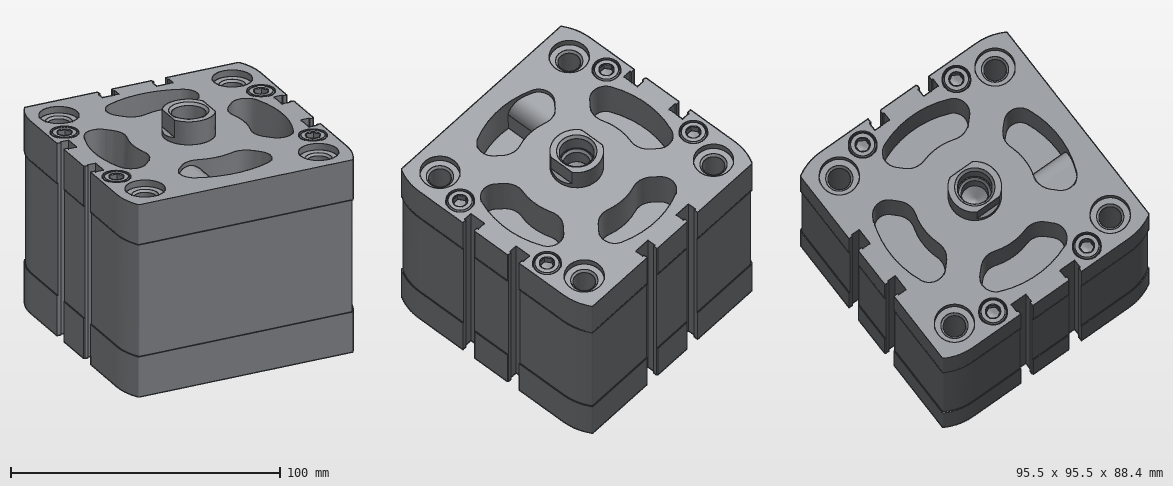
import cadquery as cq
import math

WIDTH = 95.5
TOTAL_HEIGHT = 88.4
ROD_PROTRUSION = 9.5
CAP_HEIGHT = 16.5
BARREL_INSET = 0.4
HOUSING_HEIGHT = TOTAL_HEIGHT - ROD_PROTRUSION
BARREL_HEIGHT = HOUSING_HEIGHT - 2 * CAP_HEIGHT

ARC_START_X = 36.0
ARC_END_DROP = 3.2
CORNER_BREAK = 0.8

SLOT_OFFSET = 11.3
SLOT_MOUTH = 5.5
SLOT_WIDTH = 6.8
SLOT_DEPTH = 5.2
SLOT_LIP = 1.7
LIP_BREAK = 0.4

MOUNT_OFFSET = 36.0
MOUNT_BORE_DIA = 8.4
MOUNT_COUNTERSINK_DIA = 10.1
MOUNT_SEAT_DIA = 15.0
MOUNT_SEAT_DEPTH = 2.7

SCREW_X = 21.7
SCREW_Y = 40.8
SCREW_POCKET_DIA = 10.7
SCREW_HEAD_DIA = 10.0
SCREW_CROWN_DIA = 9.0
SCREW_GAP_DEPTH = 1.4
SCREW_HEX_FLATS = 5.0
SCREW_SOCKET_DEPTH = 2.9
SCREW_CONE_HEIGHT = 0.8

POCKET_OUTER_R = 39.0
POCKET_INNER_R = 23.2
POCKET_WEB = 13.0
POCKET_OUTER_CORNER_R = 6.0
POCKET_INNER_CORNER_R = 7.6
POCKET_DEPTH = 14.8
POCKET_DRAFT = 2.5

STEP_DEPTH = 1.7
STEP_CREST_Y = -11.6
STEP_FOOT_Y = -4.5
STEP_ROUND_R = 7.5

ROD_DIA = 20.0
ROD_SEAT_DEPTH = CAP_HEIGHT
FLAT_DISTANCE = 8.5
FLAT_LENGTH = 7.1
FLAT_RUNOUT = 0.8
THREAD_CHAMFER_DIA = 15.0
THREAD_DIA = 13.0
THREAD_DEPTH = 6.7
LEDGE_DIA = 12.0
CORE_DIA = 10.1
CORE_DEPTH = 13.4
DRILL_HALF_ANGLE = 59.0


def footprint(width, height):
    """Square prism with large arcs running into the front and back faces."""
    half = width / 2
    inset = WIDTH / 2 - half
    side_y = WIDTH / 2 - ARC_END_DROP - inset
    rise = half - side_y
    run = half - ARC_START_X
    radius = (run**2 + rise**2) / (2 * rise)
    half_angle = math.atan2(run, radius - rise) / 2
    mid_x = ARC_START_X + radius * math.sin(half_angle)
    mid_y = half - radius * (1 - math.cos(half_angle))
    sketch = (
        cq.Workplane("XY")
        .moveTo(-ARC_START_X, half)
        .lineTo(ARC_START_X, half)
        .threePointArc((mid_x, mid_y), (half, side_y))
        .lineTo(half, -side_y)
        .threePointArc((mid_x, -mid_y), (ARC_START_X, -half))
        .lineTo(-ARC_START_X, -half)
        .threePointArc((-mid_x, -mid_y), (-half, -side_y))
        .lineTo(-half, side_y)
        .threePointArc((-mid_x, mid_y), (-ARC_START_X, half))
        .close()
    )
    corners = cq.selectors.BoxSelector(
        (-WIDTH, -side_y - 0.1, -1), (WIDTH, side_y + 0.1, height + 1)
    )
    return sketch.extrude(height).edges("|Z").edges(corners).fillet(CORNER_BREAK)


def housing_blank():
    cap = footprint(WIDTH, CAP_HEIGHT)
    barrel = footprint(WIDTH - 2 * BARREL_INSET, BARREL_HEIGHT)
    blank = cap.union(barrel.translate((0, 0, CAP_HEIGHT)))
    return blank.union(cap.translate((0, 0, CAP_HEIGHT + BARREL_HEIGHT)))


def slot(side):
    """Cutter for one T-slot in the front face, on the given side (+1, -1) of its middle."""
    face = -WIDTH / 2
    inner_mouth = SLOT_OFFSET - SLOT_MOUTH / 2
    outer_mouth = SLOT_OFFSET + SLOT_MOUTH / 2
    inner_wall = SLOT_OFFSET - SLOT_WIDTH / 2
    outer_wall = SLOT_OFFSET + SLOT_WIDTH / 2
    points = [
        (inner_mouth - LIP_BREAK, face),
        (inner_mouth, face + LIP_BREAK),
        (inner_mouth, face + SLOT_LIP),
        (inner_wall, face + SLOT_LIP),
        (inner_wall, face + SLOT_DEPTH),
        (outer_wall, face + SLOT_DEPTH),
        (outer_wall, face + SLOT_LIP),
        (outer_mouth, face + SLOT_LIP),
        (outer_mouth, face),
    ]
    outline = [(side * x, y) for x, y in points]
    return cq.Workplane("XY").polyline(outline).close().extrude(HOUSING_HEIGHT)


def turned(profile):
    """Solid of revolution about Z from (radius, height) points."""
    return cq.Workplane("XZ").polyline(profile).close().revolve(360, (0, 0), (0, 1))


def mount_hole():
    """Cutter for one stepped mounting hole, axis at the origin."""
    top = HOUSING_HEIGHT
    seat = top - MOUNT_SEAT_DEPTH
    countersink = (MOUNT_COUNTERSINK_DIA - MOUNT_BORE_DIA) / 2
    profile = [
        (0, 0),
        (MOUNT_BORE_DIA / 2, 0),
        (MOUNT_BORE_DIA / 2, seat - countersink),
        (MOUNT_COUNTERSINK_DIA / 2, seat),
        (MOUNT_SEAT_DIA / 2, seat),
        (MOUNT_SEAT_DIA / 2, top),
        (0, top),
    ]
    return turned(profile)


def screw_recess():
    """Cutter that leaves one screw head: a ring gap around it and its socket."""
    top = HOUSING_HEIGHT
    chamfer = (SCREW_HEAD_DIA - SCREW_CROWN_DIA) / 2
    gap_profile = [
        (SCREW_CROWN_DIA / 2, top),
        (SCREW_HEAD_DIA / 2, top - chamfer),
        (SCREW_HEAD_DIA / 2, top - SCREW_GAP_DEPTH),
        (SCREW_POCKET_DIA / 2, top - SCREW_GAP_DEPTH),
        (SCREW_POCKET_DIA / 2, top),
    ]
    hex_corners = SCREW_HEX_FLATS / math.cos(math.radians(30))
    hexagon = (
        cq.Workplane("XY")
        .workplane(offset=top - SCREW_SOCKET_DEPTH)
        .transformed(rotate=(0, 0, 30))
        .polygon(6, hex_corners)
        .extrude(SCREW_SOCKET_DEPTH)
    )
    bevel = (hex_corners - SCREW_HEX_FLATS) / 2
    floor = top - SCREW_SOCKET_DEPTH
    drill_profile = [
        (0, floor - SCREW_CONE_HEIGHT),
        (SCREW_HEX_FLATS / 2, floor),
        (SCREW_HEX_FLATS / 2, top - bevel),
        (hex_corners / 2, top),
        (0, top),
    ]
    return turned(gap_profile).union(hexagon.union(turned(drill_profile)))


def pocket_outline(height, inset):
    """Kidney outline on the +Y side at the given height, offset inwards by the inset."""
    web = POCKET_WEB / math.sqrt(2)

    def corner_center(corner_radius, reach):
        """Point at the given reach from the axis, a corner radius off the side wall."""
        lift = web + corner_radius * math.sqrt(2)
        x = (math.sqrt(2 * reach**2 - lift**2) - lift) / 2
        return cq.Vector(x, x + lift)

    outer_center = corner_center(POCKET_OUTER_CORNER_R, POCKET_OUTER_R - POCKET_OUTER_CORNER_R)
    inner_center = corner_center(POCKET_INNER_CORNER_R, POCKET_INNER_R + POCKET_INNER_CORNER_R)
    outwards = outer_center.normalized()
    inwards = -inner_center.normalized()
    sideways = cq.Vector(1, -1).normalized()

    outer_r = POCKET_OUTER_CORNER_R - inset
    inner_r = POCKET_INNER_CORNER_R - inset
    outer_tip = outer_center + outwards * outer_r
    outer_mid = outer_center + (outwards + sideways).normalized() * outer_r
    outer_wall = outer_center + sideways * outer_r
    inner_wall = inner_center + sideways * inner_r
    inner_mid = inner_center + (inwards + sideways).normalized() * inner_r
    inner_tip = inner_center + inwards * inner_r

    def right(point):
        return (point.x, point.y)

    def left(point):
        return (-point.x, point.y)

    return (
        cq.Workplane("XY")
        .workplane(offset=height)
        .moveTo(*left(outer_tip))
        .threePointArc((0, POCKET_OUTER_R - inset), right(outer_tip))
        .threePointArc(right(outer_mid), right(outer_wall))
        .lineTo(*right(inner_wall))
        .threePointArc(right(inner_mid), right(inner_tip))
        .threePointArc((0, POCKET_INNER_R + inset), left(inner_tip))
        .threePointArc(left(inner_mid), left(inner_wall))
        .lineTo(*left(outer_wall))
        .threePointArc(left(outer_mid), left(outer_tip))
        .close()
        .val()
    )


def pocket():
    """Cutter for the kidney-shaped pocket on the +Y side, with drafted walls."""
    floor_inset = POCKET_DEPTH * math.tan(math.radians(POCKET_DRAFT))
    floor = pocket_outline(HOUSING_HEIGHT - POCKET_DEPTH, floor_inset)
    rim = pocket_outline(HOUSING_HEIGHT, 0)
    return cq.Workplane(cq.Solid.makeLoft([floor, rim], True))


def pocket_step():
    """Raised floor of the +X pocket; its crest rounds over to a wall down to the deep floor."""
    crest_z = HOUSING_HEIGHT - STEP_DEPTH
    floor_z = HOUSING_HEIGHT - POCKET_DEPTH
    sweep = math.asin((STEP_FOOT_Y - STEP_CREST_Y) / STEP_ROUND_R)

    def round_point(angle):
        return (
            STEP_CREST_Y + STEP_ROUND_R * math.sin(angle),
            crest_z - STEP_ROUND_R * (1 - math.cos(angle)),
        )

    return (
        cq.Workplane("YZ")
        .moveTo(-POCKET_OUTER_R, crest_z)
        .lineTo(STEP_CREST_Y, crest_z)
        .threePointArc(round_point(sweep / 2), round_point(sweep))
        .lineTo(STEP_FOOT_Y, floor_z)
        .lineTo(-POCKET_OUTER_R, floor_z)
        .close()
        .extrude(WIDTH / 2)
    )


def rod_cylinder():
    length = ROD_PROTRUSION + ROD_SEAT_DEPTH
    return (
        cq.Workplane("XY")
        .workplane(offset=HOUSING_HEIGHT - ROD_SEAT_DEPTH)
        .circle(ROD_DIA / 2)
        .extrude(length)
    )


def make_housing():
    housing = housing_blank()
    for quarter_turn in (0, -90, 180):
        for side in (-1, 1):
            housing = housing.cut(slot(side).rotate((0, 0, 0), (0, 0, 1), quarter_turn))
    for sx in (-1, 1):
        for sy in (-1, 1):
            housing = housing.cut(mount_hole().translate((sx * MOUNT_OFFSET, sy * MOUNT_OFFSET, 0)))
            housing = housing.cut(screw_recess().translate((sx * SCREW_X, sy * SCREW_Y, 0)))
    for angle in (0, 90, 180):
        housing = housing.cut(pocket().rotate((0, 0, 0), (0, 0, 1), angle))
    stepped_pocket = pocket().rotate((0, 0, 0), (0, 0, 1), -90).cut(pocket_step())
    return housing.cut(stepped_pocket).cut(rod_cylinder())


def wrench_flat():
    """Cutter for the flat on the +Y side; its lower end slopes down and outwards."""
    depth = ROD_DIA / 2 - FLAT_DISTANCE
    end_z = TOTAL_HEIGHT - FLAT_LENGTH
    profile = [
        (FLAT_DISTANCE, TOTAL_HEIGHT),
        (FLAT_DISTANCE, end_z),
        (FLAT_DISTANCE + depth, end_z - FLAT_RUNOUT),
        (FLAT_DISTANCE + depth, TOTAL_HEIGHT),
    ]
    return cq.Workplane("YZ").polyline(profile).close().extrude(ROD_DIA / 2, both=True)


def thread_hole():
    """Cutter for the stepped hole in the rod end, with a cone at the bottom."""
    top = TOTAL_HEIGHT
    chamfer = (THREAD_CHAMFER_DIA - THREAD_DIA) / 2
    countersink = (LEDGE_DIA - CORE_DIA) / 2
    cone_drop = CORE_DIA / 2 / math.tan(math.radians(DRILL_HALF_ANGLE))
    profile = [
        (0, top),
        (THREAD_CHAMFER_DIA / 2, top),
        (THREAD_DIA / 2, top - chamfer),
        (THREAD_DIA / 2, top - THREAD_DEPTH),
        (LEDGE_DIA / 2, top - THREAD_DEPTH),
        (CORE_DIA / 2, top - THREAD_DEPTH - countersink),
        (CORE_DIA / 2, top - CORE_DEPTH),
        (0, top - CORE_DEPTH - cone_drop),
    ]
    return turned(profile)


def make_rod():
    rod = rod_cylinder()
    for angle in (0, 180):
        rod = rod.cut(wrench_flat().rotate((0, 0, 0), (0, 0, 1), angle))
    return rod.cut(thread_hole())


housing = make_housing()
rod = make_rod()
result = cq.Compound.makeCompound([housing.val(), rod.val()])